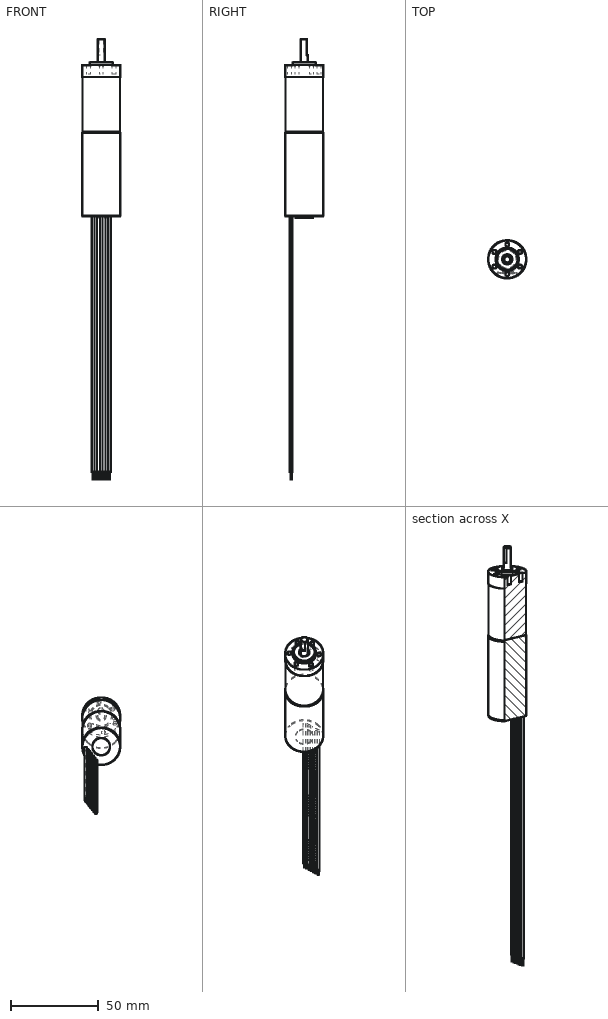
import cadquery as cq

total_length = 251.5
body_diameter = 22.0

shaft_diameter = 4.0
shaft_length = 14.8
shaft_tip_chamfer = 0.3
flat_length = 9.0
flat_offset = 1.5
pilot_diameter = 13.3
pilot_height = 1.8
pilot_chamfer_height = 0.3
pilot_chamfer_width = 0.8
bore_diameter = 5.8
bore_depth = 1.5
flange_thickness = 6.8
tube_diameter = 21.6
gearhead_length = 38.0
screw_hole_count = 6
screw_circle_diameter = 16.9
screw_hole_diameter = 2.3
screw_hole_depth = 5.0

motor_length = 48.5
neck_height = 0.8
neck_diameter = 21.5
rim_chamfer_height = 0.8
rim_chamfer_width = 0.3
end_boss_diameter = 10.0
end_boss_height = 0.8

wire_count = 7
wire_diameter = 1.55
wire_row_y = -7.5
conductor_diameter = 0.83
conductor_length = 4.3

motor_bottom = -(gearhead_length + motor_length)
wire_end = shaft_length - total_length
insulation_end = wire_end + conductor_length


def cylinder(diameter, bottom, top):
    """Solid cylinder on the Z axis between two heights."""
    return cq.Workplane("XY").workplane(offset=bottom).circle(diameter / 2).extrude(top - bottom)


def make_shaft():
    """Output shaft with a flat on its +Y side near the tip."""
    shaft = cylinder(shaft_diameter, pilot_height - bore_depth, shaft_length)
    shaft = shaft.faces(">Z").chamfer(shaft_tip_chamfer)
    flat_cutter = (
        cq.Workplane("XY")
        .workplane(offset=shaft_length - flat_length)
        .center(0, flat_offset + shaft_diameter / 2)
        .rect(2 * shaft_diameter, shaft_diameter)
        .extrude(flat_length)
    )
    return shaft.cut(flat_cutter)


def make_gearhead():
    """Flange, pilot and gear tube, with the output shaft standing in the pilot bore."""
    flange = cylinder(body_diameter, -flange_thickness, 0)
    tube = cylinder(tube_diameter, -gearhead_length, -flange_thickness)
    pilot = cylinder(pilot_diameter, 0, pilot_height).faces(">Z").edges()
    pilot = pilot.chamfer(pilot_chamfer_height, pilot_chamfer_width)
    bore = cylinder(bore_diameter, pilot_height - bore_depth, pilot_height)
    screw_holes = (
        cq.Workplane("XY")
        .polarArray(screw_circle_diameter / 2, 90, 360, screw_hole_count)
        .circle(screw_hole_diameter / 2)
        .extrude(-screw_hole_depth)
    )
    return flange.union(tube).union(pilot).cut(bore).cut(screw_holes).union(make_shaft())


def make_motor():
    """Motor can with a narrow neck under the gearhead and a low boss on its rear end."""
    neck = cylinder(neck_diameter, -gearhead_length - neck_height, -gearhead_length)
    can = cylinder(body_diameter, motor_bottom, -gearhead_length - neck_height)
    can = can.faces("<Z").edges().chamfer(rim_chamfer_height, rim_chamfer_width)
    end_boss = cylinder(end_boss_diameter, motor_bottom - end_boss_height, motor_bottom)
    return can.union(neck).union(end_boss)


def make_wire(x):
    """Insulated wire hanging from the motor, with a bare conductor at its free end."""
    insulation = cylinder(wire_diameter, insulation_end, motor_bottom)
    conductor = cylinder(conductor_diameter, wire_end, insulation_end)
    return insulation.union(conductor).translate((x, wire_row_y, 0))


gearhead = make_gearhead()
motor = make_motor()
first_wire_x = -wire_diameter * (wire_count - 1) / 2
wires = [make_wire(first_wire_x + index * wire_diameter) for index in range(wire_count)]

result = cq.Compound.makeCompound([gearhead.val(), motor.val(), *[wire.val() for wire in wires]])